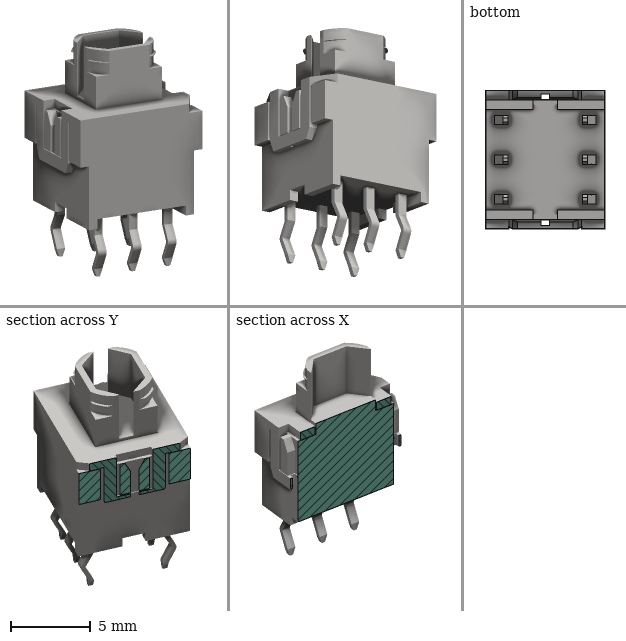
import cadquery as cq


base_size = 7.5
cover_length = 8.7
base_top = 6.7
cover_thickness = 0.6
plunger_top = 11.0
pin_tip_z = -3.5

half_base = base_size / 2
half_length = cover_length / 2
overhang = half_length - half_base
cover_top = base_top + cover_thickness

foot_height = 0.65
foot_thickness = 0.6
foot_notch_width = 1.54
pad_bottom = 4.19
pad_inner_x = 2.29

catch_width = 2.0
catch_channel_width = 0.51
catch_mouth_width = 1.33
catch_mouth_bottom = 5.9

strap_width = 4.15
strap_bottom = 3.3
strap_corner_x = 0.33
strap_corner_z = 0.72
strap_relief = 0.16
window_width = 2.39
window_bottom = 4.15
window_inner_y = 3.57
bar_slot_length = 0.33
bar_slot_offset = 0.05
corner_cut_y = 0.95
plunger_gap = 0.05

plunger_width = 4.15
plunger_length = 4.7
slot_width = 0.97
cavity_floor = 7.5
cavity_half_x = 1.65
cavity_flat_half_y = 1.28
cavity_end_y = 2.3
neck_bottom = 9.44
neck_radius = 2.51
ring_radius = 2.67
ring_bottom = 10.22
ring_thickness = 0.05

pin_pitch = 2.5
pin_row_x = 2.5
pin_width = 0.6
pin_thickness = 0.32
pin_kink = 0.6
pin_kink_top = -0.75
pin_kink_z = -1.81
pin_kink_bottom = -2.97
pin_kink_outer_radius = 0.42
pin_kink_inner_radius = 0.13
pin_taper_z = -3.02
pin_tip_width = 0.23


def block(x_size, y_size, z_low, z_high, x=0, y=0):
    """Box centred on (x, y) that spans z_low to z_high."""
    height = z_high - z_low
    return cq.Workplane("XY").box(x_size, y_size, height).translate((x, y, z_low + height / 2))


def front_prism(points, y_low, y_high):
    """Closed XZ outline extruded along Y from y_low to y_high."""
    return cq.Workplane("XZ", origin=(0, y_high, 0)).polyline(points).close().extrude(y_high - y_low)


def on_both_ends(shape):
    """The shape at the -Y end joined with its copy at the +Y end."""
    return shape.union(shape.mirror("XZ"))


def make_base_block():
    base = block(base_size, base_size, 0, base_top)
    base = base.cut(block(base_size, base_size - 2 * foot_thickness, 0, foot_height))
    base = base.cut(block(foot_notch_width, base_size, 0, foot_height))
    pad_width = half_base - pad_inner_x
    for side_x in (-1, 1):
        for side_y in (-1, 1):
            pad_x = side_x * (pad_inner_x + half_base) / 2
            pad_y = side_y * (half_base + half_length) / 2
            base = base.union(block(pad_width, overhang, pad_bottom, base_top, pad_x, pad_y))
    return base


def make_catches():
    """Snap catches, each split by a vertical channel with a flared mouth."""
    catch = block(catch_width, overhang, pad_bottom, base_top, y=-(half_base + half_length) / 2)
    half_channel = catch_channel_width / 2
    half_mouth = catch_mouth_width / 2
    channel = [
        (-half_mouth, base_top),
        (-half_channel, catch_mouth_bottom),
        (-half_channel, pad_bottom),
        (half_channel, pad_bottom),
        (half_channel, catch_mouth_bottom),
        (half_mouth, base_top),
    ]
    return on_both_ends(catch.cut(front_prism(channel, -half_length, -half_base)))


def make_pin():
    """Kinked pin of the -X row at Y = 0, rising to the underside of the base."""
    outer_x = -pin_row_x - pin_thickness / 2
    inner_x = outer_x + pin_thickness
    outline = [
        (outer_x, foot_height),
        (outer_x, pin_kink_top),
        (outer_x - pin_kink, pin_kink_z),
        (outer_x, pin_kink_bottom),
        (outer_x, pin_tip_z),
        (inner_x, pin_tip_z),
        (inner_x, pin_kink_bottom),
        (inner_x - pin_kink, pin_kink_z),
        (inner_x, pin_kink_top),
        (inner_x, foot_height),
    ]
    pin = front_prism(outline, -pin_width / 2, pin_width / 2)
    pin = pin.edges("<X").fillet(pin_kink_outer_radius)
    inner_bend = cq.selectors.NearestToPointSelector((inner_x - pin_kink, 0, pin_kink_z))
    pin = pin.edges("|Y").edges(inner_bend).fillet(pin_kink_inner_radius)
    width_outline = [
        (-pin_width / 2, foot_height),
        (-pin_width / 2, pin_taper_z),
        (-pin_tip_width / 2, pin_tip_z),
        (pin_tip_width / 2, pin_tip_z),
        (pin_width / 2, pin_taper_z),
        (pin_width / 2, foot_height),
    ]
    return pin.intersect(cq.Workplane("YZ").polyline(width_outline).close().extrude(-base_size))


def make_plunger():
    """Hollow plunger with round corners at the top, a thin ring and a slot at each Y end."""
    plunger = block(plunger_width, plunger_length, base_top, plunger_top)
    neck = cq.Workplane("XY").workplane(offset=neck_bottom).circle(neck_radius)
    neck = neck.extrude(plunger_top - neck_bottom)
    ring = cq.Workplane("XY").workplane(offset=ring_bottom).circle(ring_radius).extrude(ring_thickness)
    lower = block(plunger_width, plunger_length, base_top, neck_bottom)
    plunger = plunger.intersect(neck.union(ring).union(lower))
    half_slot = slot_width / 2
    outline = [
        (cavity_half_x, -cavity_flat_half_y),
        (cavity_half_x, cavity_flat_half_y),
        (half_slot, cavity_end_y),
        (-half_slot, cavity_end_y),
        (-cavity_half_x, cavity_flat_half_y),
        (-cavity_half_x, -cavity_flat_half_y),
        (-half_slot, -cavity_end_y),
        (half_slot, -cavity_end_y),
    ]
    cavity = cq.Workplane("XY").workplane(offset=cavity_floor).polyline(outline).close()
    cavity = cavity.extrude(plunger_top - cavity_floor)
    end_slots = block(slot_width, plunger_length, cavity_floor, plunger_top)
    return plunger.cut(cavity).cut(end_slots)


def make_switch_body():
    """Base, snap catches, plunger and pins as one solid."""
    body = make_base_block().union(make_catches()).union(make_plunger())
    pin = make_pin()
    for row in (pin, pin.mirror("YZ")):
        for step in (-1, 0, 1):
            body = body.union(row.translate((0, step * pin_pitch, 0)))
    return body


def make_cover_plate():
    """Plate with the two +Y corners cut off and a clearance hole for the plunger."""
    half_strap = strap_width / 2
    outline = [
        (-half_base, -half_length),
        (half_base, -half_length),
        (half_base, half_length - corner_cut_y),
        (half_strap, half_length),
        (-half_strap, half_length),
        (-half_base, half_length - corner_cut_y),
    ]
    plate = cq.Workplane("XY").workplane(offset=base_top).polyline(outline).close().extrude(cover_thickness)
    hole_width = plunger_width + 2 * plunger_gap
    hole_length = plunger_length + 2 * plunger_gap
    return plate.cut(block(hole_width, hole_length, base_top, cover_top))


def make_strap():
    """Strap at the -Y end, with bevelled lower corners and a relieved inner face."""
    half_strap = strap_width / 2
    outline = [
        (-half_strap, base_top),
        (-half_strap, strap_bottom + strap_corner_z),
        (-half_strap + strap_corner_x, strap_bottom),
        (half_strap - strap_corner_x, strap_bottom),
        (half_strap, strap_bottom + strap_corner_z),
        (half_strap, base_top),
    ]
    strap = front_prism(outline, -half_length, -half_base)
    relief = [
        (-half_base, window_bottom),
        (-half_base, strap_bottom),
        (-half_base - strap_relief, strap_bottom),
    ]
    relief = cq.Workplane("YZ").polyline(relief).close().extrude(half_strap, both=True)
    slot_y = -half_base - bar_slot_offset - bar_slot_length / 2
    slot = block(catch_channel_width, bar_slot_length, strap_bottom, window_bottom, y=slot_y)
    return strap.cut(relief).cut(slot)


def make_cover():
    cover = make_cover_plate().union(on_both_ends(make_strap()))
    window_depth = half_length - window_inner_y
    window_y = -(half_length + window_inner_y) / 2
    window = block(window_width, window_depth, window_bottom, cover_top, y=window_y)
    return cover.cut(on_both_ends(window))


switch_body = make_switch_body()
cover = make_cover()

result = cq.Compound.makeCompound([switch_body.solids().val(), cover.solids().val()])